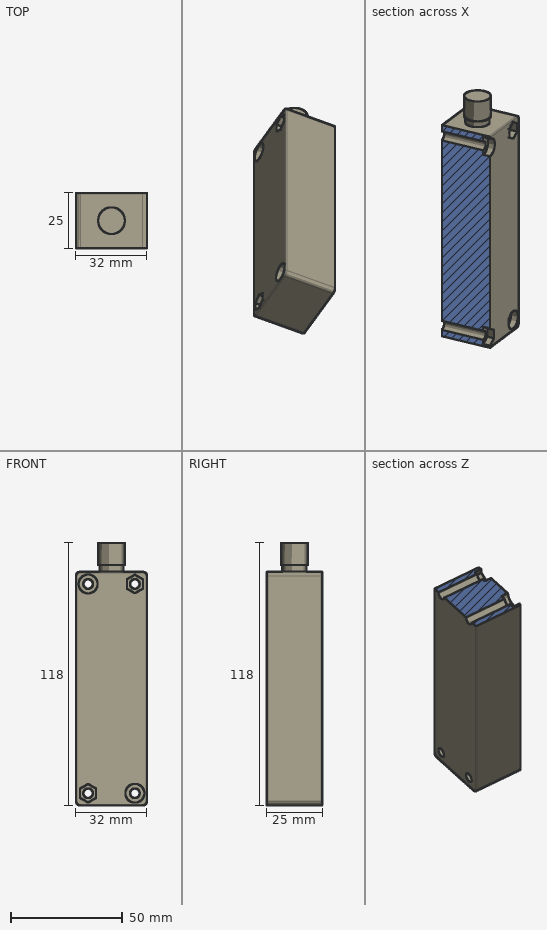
import cadquery as cq
import math

width = 32.0
depth = 25.0
height = 105.0
corner_radius = 2.0
rim_radius = 0.5

neck_diameter = 11.0
neck_height = 3.0
cap_diameter = 12.0
cap_height = 10.0

hole_inset = 5.5
hole_diameter = 4.2
head_diameter = 8.5
head_pocket_depth = 3.5
nut_sides = 6
nut_across_flats = 7.2
nut_pocket_depth = 3.5

front_y = -depth / 2
left_x = -width / 2 + hole_inset
right_x = width / 2 - hole_inset
lower_z = hole_inset
upper_z = height - hole_inset

head_positions = [(left_x, upper_z), (right_x, lower_z)]
nut_positions = [(left_x, lower_z), (right_x, upper_z)]


def make_housing():
    """Block with rounded corners along Y and filleted front and back rims."""
    block = cq.Workplane("XY").box(width, depth, height, centered=(True, True, False))
    return block.edges("|Y").fillet(corner_radius).faces("<Y or >Y").fillet(rim_radius)


def make_connector():
    """Narrow neck carrying a slightly wider cylindrical cap."""
    neck = cq.Workplane("XY").workplane(offset=height).circle(neck_diameter / 2).extrude(neck_height)
    return neck.faces(">Z").workplane().circle(cap_diameter / 2).extrude(cap_height)


def front_sketch(positions):
    """Work plane on the front face, with the local negative normal pointing into the housing."""
    return cq.Workplane("XZ", origin=(0, front_y, 0)).pushPoints(positions)


def make_through_holes():
    return front_sketch(head_positions + nut_positions).circle(hole_diameter / 2).extrude(-depth)


def make_head_pockets():
    return front_sketch(head_positions).circle(head_diameter / 2).extrude(-head_pocket_depth)


def make_nut_pockets():
    """Hexagonal pockets with two flats vertical and a corner pointing up."""
    corner_distance = nut_across_flats / 2 / math.cos(math.pi / nut_sides)
    hexagon = cq.Sketch().regularPolygon(corner_distance, nut_sides)
    return front_sketch(nut_positions).placeSketch(hexagon).extrude(-nut_pocket_depth)


result = (
    make_housing()
    .union(make_connector())
    .cut(make_through_holes())
    .cut(make_head_pockets())
    .cut(make_nut_pockets())
)